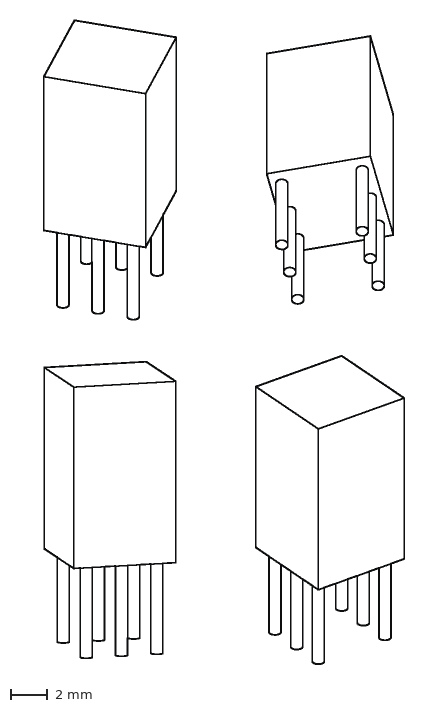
import cadquery as cq

total_height = 15.2
housing_width = 5.8

pin_diameter = 0.67
pin_length = 5.1
pin_columns = 3
pin_pitch_x = 2.0
row_spacing_y = 4.5

housing_height = total_height - pin_length


def make_housing():
    """Plain square block with its underside on Z = 0."""
    return cq.Workplane("XY").box(
        housing_width, housing_width, housing_height, centered=(True, True, False)
    )


def make_pin(x, y):
    """Round pin hanging from the housing underside."""
    return cq.Workplane("XY").center(x, y).circle(pin_diameter / 2).extrude(-pin_length)


housing = make_housing()

pins = []
for y in (-row_spacing_y / 2, row_spacing_y / 2):
    for column in range(pin_columns):
        x = (column - (pin_columns - 1) / 2) * pin_pitch_x
        pins.append(make_pin(x, y))

result = cq.Compound.makeCompound([housing.val(), *[pin.val() for pin in pins]])